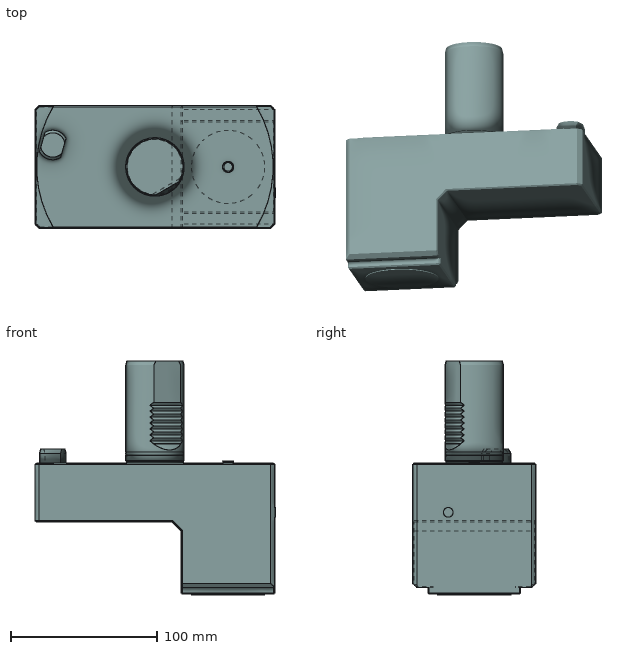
import cadquery as cq
import math

block_length = 164.0
block_width = 84.0
half_length = block_length / 2
half_width = block_width / 2
arm_height = 40.1
leg_inner_x = 18.0
leg_bottom = -85.0
elbow_chamfer = 6.3
corner_chamfer = 3.0
edge_break = 1.0

seat_depth = 1.0

raised_face_radius = 80.8
corner_drop = 0.3

insert_half_width = 28.1
insert_top = -82.0
flange_half_width = 31.8
flange_bottom = -89.5
disc_radius = 25.0
disc_thickness = 0.5
tool_axis_x = 50.0

shank_diameter = 40.0
shank_radius = shank_diameter / 2
shank_height = 70.0
shank_lead_height = 3.1
shank_lead_depth = 0.8
relief_radius = 19.4
relief_height = 1.3
relief_chamfer = 0.7
ring_center_z = 6.4
ring_section_radius = 1.2
flat_angle = -60
flat_distance = 17.0
flat_bottom = 41.6
tooth_count = 7
tooth_row_length = 28.3
tooth_pitch = tooth_row_length / tooth_count
tooth_depth = 1.56
land_height = 0.3
cutter_clearance = 1.6

pin_x = -69.8
pin_y = 15.0
pin_turn = -16
pin_diameter = 20.2
pin_height = 9.9
pin_across_flats = 15.0
pin_lead_height = 3.1
pin_lead_depth = 1.8

seal_base_radius = 3.3
seal_lip_radius = 3.8
seal_floor_radius = 3.0
seal_height = 1.6
seal_floor_height = 0.8

plug_radius = 3.3
plug_y = -17.8
plug_z = -33.5
plug_projection = 0.5


def needs_edge_break(edge):
    """Pick the top rim, the long sides' outline, the arm end's lower rim and the leg's inner lower rim."""
    center = edge.Center()
    box = edge.BoundingBox()
    tolerance = 0.02
    on_top = box.zmin > -tolerance
    on_long_side = (
        abs(abs(center.y) - half_width) < tolerance
        and abs(center.x) < half_length - corner_chamfer - tolerance
        and center.z > leg_bottom + corner_chamfer + tolerance
    )
    under_arm_end = (
        abs(center.z + arm_height) < tolerance
        and center.x < -half_length + corner_chamfer
    )
    on_leg_foot = (
        abs(center.x - leg_inner_x) < tolerance
        and center.z < leg_bottom + corner_chamfer
    )
    return on_top or on_long_side or under_arm_end or on_leg_foot


def make_block():
    outline = [
        (-half_length, 0),
        (half_length, 0),
        (half_length, leg_bottom),
        (leg_inner_x, leg_bottom),
        (leg_inner_x, -arm_height - elbow_chamfer),
        (leg_inner_x - elbow_chamfer, -arm_height),
        (-half_length, -arm_height),
    ]
    block = cq.Workplane("XZ").polyline(outline).close().extrude(half_width, both=True)
    block = block.edges("|Z and (<X or >X)").chamfer(corner_chamfer)
    block = block.faces("<Z").edges("|X").chamfer(corner_chamfer)
    broken_edges = [edge for edge in block.edges().vals() if needs_edge_break(edge)]
    block = block.newObject(broken_edges).chamfer(edge_break)
    raised_face = cq.Workplane("XY").circle(raised_face_radius).extrude(-corner_drop)
    lowered_corners = (
        cq.Workplane("XY")
        .rect(block_length, block_width)
        .extrude(-corner_drop)
        .cut(raised_face)
    )
    return block.cut(lowered_corners)


def make_foot():
    leg_length = half_length - leg_inner_x
    leg_center_x = (half_length + leg_inner_x) / 2
    insert = (
        cq.Workplane("XY", origin=(leg_center_x, 0, leg_bottom))
        .rect(leg_length, 2 * insert_half_width)
        .extrude(insert_top - leg_bottom)
    )
    flange = (
        cq.Workplane("XY", origin=(leg_center_x, 0, leg_bottom))
        .rect(leg_length, 2 * flange_half_width)
        .extrude(flange_bottom - leg_bottom)
        .edges("|Z or <Z")
        .chamfer(edge_break)
    )
    disc = (
        cq.Workplane("XY", origin=(tool_axis_x, 0, flange_bottom))
        .circle(disc_radius)
        .extrude(-disc_thickness)
    )
    return insert.union(flange).union(disc)


def make_shank_blank():
    """Revolve the shank with its root relief, sealing ring and lead-in taper."""
    ring_root_radius = shank_radius - ring_section_radius
    ring_bottom = ring_center_z - ring_section_radius
    ring_top = ring_center_z + ring_section_radius
    return (
        cq.Workplane("XZ")
        .moveTo(0, -seat_depth)
        .lineTo(relief_radius, -seat_depth)
        .lineTo(relief_radius, relief_height)
        .lineTo(shank_radius, relief_height + relief_chamfer)
        .lineTo(shank_radius, ring_bottom)
        .lineTo(ring_root_radius, ring_bottom)
        .threePointArc((shank_radius, ring_center_z), (ring_root_radius, ring_top))
        .lineTo(shank_radius, ring_top)
        .lineTo(shank_radius, shank_height - shank_lead_height)
        .lineTo(shank_radius - shank_lead_depth, shank_height)
        .lineTo(0, shank_height)
        .close()
        .revolve(360, (0, 0, 0), (0, 1, 0))
    )


def make_tooth_cutter():
    """Profile of the flat and teeth, swept across the side of the shank that they face."""
    clear_radius = shank_radius + cutter_clearance
    clear_top = shank_height + cutter_clearance
    root_distance = flat_distance - tooth_depth
    flank_slope = tooth_depth / (tooth_pitch / 2)
    profile = [(clear_radius, clear_top), (flat_distance, clear_top)]
    for tooth in range(tooth_count):
        crest_z = flat_bottom - tooth * tooth_pitch
        profile.append((flat_distance, crest_z))
        profile.append((root_distance, crest_z - tooth_pitch / 2))
    land_top = flat_bottom - tooth_row_length
    land_bottom = land_top - land_height
    runout_z = land_bottom - (clear_radius - flat_distance) / flank_slope
    profile.append((flat_distance, land_top))
    profile.append((flat_distance, land_bottom))
    profile.append((clear_radius, runout_z))
    angle = math.radians(flat_angle)
    outward = cq.Vector(math.cos(angle), math.sin(angle), 0)
    side_plane = cq.Plane(
        origin=(0, 0, 0),
        xDir=outward,
        normal=outward.cross(cq.Vector(0, 0, 1)),
    )
    return cq.Workplane(side_plane).polyline(profile).close().extrude(shank_radius, both=True)


def make_pin():
    flats = cq.Workplane("XY").rect(pin_across_flats, pin_diameter).extrude(pin_height)
    pin = (
        cq.Workplane("XY")
        .circle(pin_diameter / 2)
        .extrude(pin_height)
        .faces(">Z")
        .chamfer(pin_lead_height, pin_lead_depth)
        .intersect(flats)
    )
    seat = cq.Workplane("XY").rect(pin_across_flats, pin_across_flats / 2).extrude(-seat_depth)
    return (
        pin.union(seat)
        .rotate((0, 0, 0), (0, 0, 1), pin_turn)
        .translate((pin_x, pin_y, 0))
    )


def make_seal():
    return (
        cq.Workplane("XZ")
        .moveTo(0, -seat_depth)
        .lineTo(seal_base_radius, -seat_depth)
        .lineTo(seal_base_radius, 0)
        .lineTo(seal_lip_radius, seal_height)
        .lineTo(seal_floor_radius, seal_floor_height)
        .lineTo(0, seal_floor_height)
        .close()
        .revolve(360, (0, 0, 0), (0, 1, 0))
        .translate((tool_axis_x, 0, 0))
    )


def make_plug():
    return (
        cq.Workplane("YZ", origin=(half_length, plug_y, plug_z))
        .circle(plug_radius)
        .extrude(plug_projection)
    )


shank = make_shank_blank().cut(make_tooth_cutter())

result = make_block()
for addition in (make_foot(), shank, make_pin(), make_seal(), make_plug()):
    result = result.union(addition)